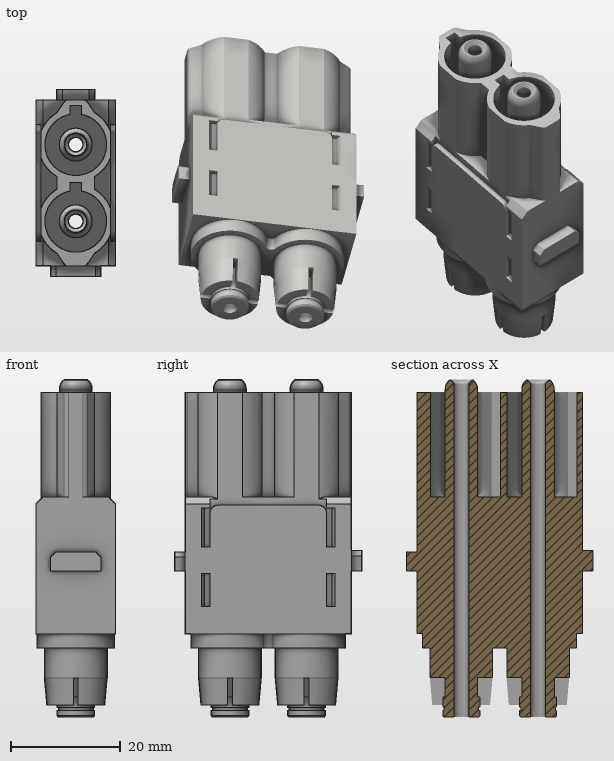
import cadquery as cq
import math


BLOCK_X = 14.6
BLOCK_Y = 30.3
BLOCK_Z = 25.0
SHOULDER_CHAMFER = 1.3

POLE_PITCH = 14.0
POLE_YS = (-POLE_PITCH / 2, POLE_PITCH / 2)

SHELL_TOP = 44.1
SHELL_R = 6.77
SHELL_FLAT_X = 6.37
WEB_HALF_X = 3.45
NOSE_BASE_HALF_X = 3.44
NOSE_ANGLE = 56.0
NOSE_FILLET = 1.0
SOCKET_D = 11.25
SOCKET_FLOOR = BLOCK_Z
KEYWAY_WIDTH = 2.15
KEYWAY_REACH = 7.1

PANEL_WIDTH = 21.3
PANEL_TOP = 23.5
PANEL_CORNER_R = 1.5

SLOT_WIDTH = 1.55
SLOT_FLOOR_WIDTH = 0.95
SLOT_Z_RANGES = ((5.05, 11.0), (15.9, 22.95))

LUG_PROUD = 1.95
LUG_BOTTOM = 11.45
FRONT_LUG_WIDTH = 9.2
FRONT_LUG_TOP = 15.0
FRONT_LUG_CHAMFER = 1.0
REAR_LUG_WIDTH = 7.0
REAR_LUG_TOP = 15.25
REAR_LUG_CHAMFER = 1.05

COLLAR_R = 7.1
COLLAR_BOTTOM = -2.6
COLLAR_CREASE_R = 1.0

SLEEVE_R = 11.5 / 2
COLLET_TOP = -8.0
COLLET_BOTTOM = -13.0
COLLET_END_R = 10.6 / 2
COLLET_SLOT_WIDTH = 0.91
COLLET_SLOT_COUNT = 4

SCREW_R = 6.9 / 2
SCREW_TOP = -11.5
SCREW_BOTTOM = -15.2
SCREW_CHAMFER = 0.3
GROOVE_R = 6.4 / 2
GROOVE_TOP = -13.4
GROOVE_BOTTOM = -13.95

PIN_R = 6.0 / 2
PIN_TOP = 46.4
PIN_DOME_BASE = 44.5
PIN_BULGE_R = 2.8
PIN_BULGE_Z = 45.6
PIN_RIM_R = 4.6 / 2
PIN_RIM_BEVEL = 0.15
PIN_CREST_R = 4.2 / 2
PIN_MOUTH_R = 4.0 / 2
PIN_BORE_R = 2.6 / 2
PIN_MOUTH_DEPTH = 0.7


def block_between(x0, x1, y0, y1, z0, z1):
    """Box given by its limits along each axis."""
    return cq.Workplane("XY").box(x1 - x0, y1 - y0, z1 - z0, centered=False).translate((x0, y0, z0))


def pole_cylinder(y, radius, z0, z1):
    """Cylinder on the axis of the pole at y."""
    return cq.Workplane("XY").workplane(offset=z0).center(0, y).circle(radius).extrude(z1 - z0)


def shell_nose(side):
    """Tapered end of the shell reaching the narrow face on the given Y side."""
    base_y = POLE_PITCH / 2 + math.sqrt(SHELL_R**2 - NOSE_BASE_HALF_X**2)
    end_y = BLOCK_Y / 2
    end_half_x = NOSE_BASE_HALF_X - (end_y - base_y) / math.tan(math.radians(NOSE_ANGLE))
    pole_y = POLE_PITCH / 2
    outline = [
        (0, pole_y),
        (NOSE_BASE_HALF_X, base_y),
        (end_half_x, end_y),
        (-end_half_x, end_y),
        (-NOSE_BASE_HALF_X, base_y),
    ]
    nose = cq.Workplane("XY").polyline(outline).close().extrude(SHELL_TOP)
    nose = nose.edges("|Z").edges(">Y").fillet(NOSE_FILLET)
    if side < 0:
        nose = nose.mirror("XZ")
    return nose


def make_shell():
    """Solid twin shell, from the block underside to the shell top."""
    half_pitch = POLE_PITCH / 2
    shell = block_between(-WEB_HALF_X, WEB_HALF_X, -half_pitch, half_pitch, 0, SHELL_TOP)
    for y in POLE_YS:
        shell = shell.union(pole_cylinder(y, SHELL_R, 0, SHELL_TOP))
        shell = shell.union(shell_nose(y))
    flats = block_between(-SHELL_FLAT_X, SHELL_FLAT_X, -BLOCK_Y / 2, BLOCK_Y / 2, 0, SHELL_TOP)
    return shell.intersect(flats)


def make_panel():
    """Raised panels of both sides as one slab with rounded upper corners."""
    panel = block_between(-BLOCK_X / 2, BLOCK_X / 2, -PANEL_WIDTH / 2, PANEL_WIDTH / 2, 0, PANEL_TOP)
    return panel.edges("|X and >Z").fillet(PANEL_CORNER_R)


def side_slot(x_side, y_side, z0, z1):
    """Pocket beside the panel edge whose outer wall slopes inwards."""
    inner_y = PANEL_WIDTH / 2
    outline = [
        (x_side * SHELL_FLAT_X, y_side * inner_y),
        (x_side * BLOCK_X / 2, y_side * inner_y),
        (x_side * BLOCK_X / 2, y_side * (inner_y + SLOT_WIDTH)),
        (x_side * SHELL_FLAT_X, y_side * (inner_y + SLOT_FLOOR_WIDTH)),
    ]
    return cq.Workplane("XY").workplane(offset=z0).polyline(outline).close().extrude(z1 - z0)


def make_block():
    """Housing block with chamfered shoulders, side panels and slots."""
    block = cq.Workplane("XY").box(BLOCK_X, BLOCK_Y, BLOCK_Z, centered=(True, True, False))
    block = block.edges("|Y and >Z").chamfer(SHOULDER_CHAMFER)
    for x_side in (-1, 1):
        x0, x1 = sorted((x_side * SHELL_FLAT_X, x_side * BLOCK_X / 2))
        block = block.cut(block_between(x0, x1, -PANEL_WIDTH / 2, PANEL_WIDTH / 2, 0, BLOCK_Z))
    block = block.union(make_panel())
    flat_half_y = POLE_PITCH / 2 + math.sqrt(SHELL_R**2 - SHELL_FLAT_X**2)
    block = block.union(
        block_between(-SHELL_FLAT_X, SHELL_FLAT_X, -flat_half_y, flat_half_y, 0, BLOCK_Z)
    )
    for x_side in (-1, 1):
        for y_side in (-1, 1):
            for z0, z1 in SLOT_Z_RANGES:
                block = block.cut(side_slot(x_side, y_side, z0, z1))
    return block


def make_lug(y_side, width, top, chamfer):
    """Coding lug with chamfered upper corners on one narrow end."""
    y0, y1 = sorted((0, y_side * (BLOCK_Y / 2 + LUG_PROUD)))
    lug = block_between(-width / 2, width / 2, y0, y1, LUG_BOTTOM, top)
    return lug.edges("|Y and >Z").chamfer(chamfer)


def make_collar():
    """Two overlapping discs with the creases between them filleted."""
    collar = pole_cylinder(POLE_YS[0], COLLAR_R, COLLAR_BOTTOM, 0)
    collar = collar.union(pole_cylinder(POLE_YS[1], COLLAR_R, COLLAR_BOTTOM, 0))
    crease_x = math.sqrt(COLLAR_R**2 - (POLE_PITCH / 2) ** 2)
    creases = cq.selectors.BoxSelector(
        (-2 * crease_x, -crease_x / 2, COLLAR_BOTTOM), (2 * crease_x, crease_x / 2, 0)
    )
    return collar.edges("|Z").edges(creases).fillet(COLLAR_CREASE_R)


def socket_cavity(y):
    """Round socket with a keyway on its +Y side."""
    cavity = pole_cylinder(y, SOCKET_D / 2, SOCKET_FLOOR, SHELL_TOP)
    keyway = block_between(
        -KEYWAY_WIDTH / 2, KEYWAY_WIDTH / 2, y, y + KEYWAY_REACH, SOCKET_FLOOR, SHELL_TOP
    )
    return cavity.union(keyway)


def revolve_on_pole(profile, y):
    """Revolve a closed XZ profile about Z and move it to the pole at y."""
    return profile.revolve(360, (0, 0, 0), (0, 1, 0)).translate((0, y, 0))


def make_sleeve(y):
    """Cable sleeve ending in a tapered collet with radial slots."""
    profile = (
        cq.Workplane("XZ")
        .moveTo(0, COLLAR_BOTTOM)
        .lineTo(SLEEVE_R, COLLAR_BOTTOM)
        .lineTo(SLEEVE_R, COLLET_TOP)
        .lineTo(COLLET_END_R, COLLET_BOTTOM)
        .lineTo(0, COLLET_BOTTOM)
        .close()
    )
    sleeve = revolve_on_pole(profile, y)
    half_slot = COLLET_SLOT_WIDTH / 2
    slot = block_between(0, SLEEVE_R, -half_slot, half_slot, COLLET_BOTTOM, COLLET_TOP)
    for index in range(COLLET_SLOT_COUNT):
        angle = index * 360 / COLLET_SLOT_COUNT
        sleeve = sleeve.cut(slot.rotate((0, 0, 0), (0, 0, 1), angle).translate((0, y, 0)))
    return sleeve


def make_screw(y):
    """Clamping screw with a groove below the collet and a chamfered end."""
    screw = pole_cylinder(y, SCREW_R, SCREW_BOTTOM, SCREW_TOP)
    screw = screw.faces("<Z").chamfer(SCREW_CHAMFER)
    groove = pole_cylinder(y, SCREW_R, GROOVE_BOTTOM, GROOVE_TOP)
    groove = groove.cut(pole_cylinder(y, GROOVE_R, GROOVE_BOTTOM, GROOVE_TOP))
    return screw.cut(groove)


def make_pin(y):
    """Contact pin with a domed tip, running down into the clamping screw."""
    rim_z = PIN_TOP - PIN_RIM_BEVEL
    profile = (
        cq.Workplane("XZ")
        .moveTo(0, SCREW_TOP)
        .lineTo(PIN_R, SCREW_TOP)
        .lineTo(PIN_R, PIN_DOME_BASE)
        .threePointArc((PIN_BULGE_R, PIN_BULGE_Z), (PIN_RIM_R, rim_z))
        .lineTo(PIN_CREST_R, PIN_TOP)
        .lineTo(0, PIN_TOP)
        .close()
    )
    return revolve_on_pole(profile, y)


def pin_bore(y):
    """Through bore of a pole with a funnel mouth at the pin tip."""
    profile = (
        cq.Workplane("XZ")
        .moveTo(0, SCREW_BOTTOM)
        .lineTo(PIN_BORE_R, SCREW_BOTTOM)
        .lineTo(PIN_BORE_R, PIN_TOP - PIN_MOUTH_DEPTH)
        .lineTo(PIN_MOUTH_R, PIN_TOP)
        .lineTo(0, PIN_TOP)
        .close()
    )
    return revolve_on_pole(profile, y)


def make_module():
    """Assemble the housing and both poles into one solid."""
    module = make_block().union(make_shell())
    module = module.union(make_lug(-1, FRONT_LUG_WIDTH, FRONT_LUG_TOP, FRONT_LUG_CHAMFER))
    module = module.union(make_lug(1, REAR_LUG_WIDTH, REAR_LUG_TOP, REAR_LUG_CHAMFER))
    module = module.union(make_collar())
    for y in POLE_YS:
        module = module.cut(socket_cavity(y))
        module = module.union(make_sleeve(y))
        module = module.union(make_pin(y))
        module = module.union(make_screw(y))
        module = module.cut(pin_bore(y))
    return module


result = make_module()